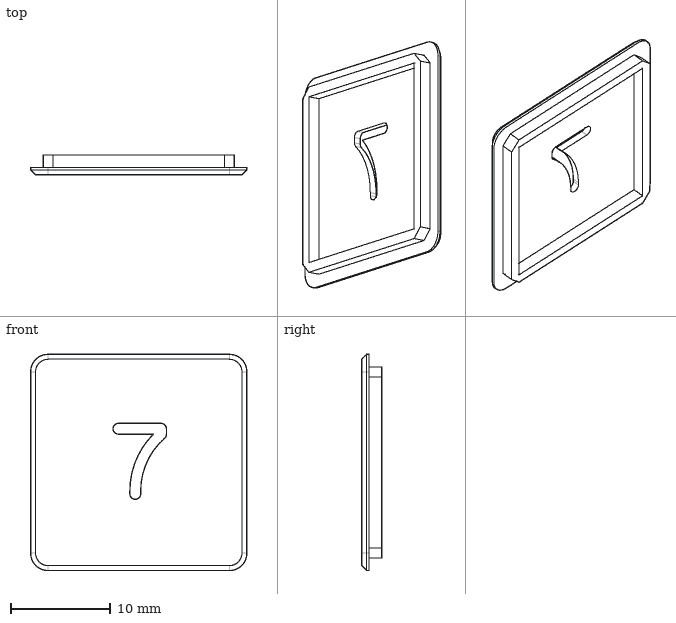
import cadquery as cq
import math


plate_size = 21.84
total_depth = 2.03
plate_thickness = 0.762
plate_corner_radius = 1.778
front_bevel = 0.508

rim_size = 19.304
rim_corner_chamfer = 1.016
rim_wall = 1.016
rim_height = total_depth - plate_thickness

front_y = -total_depth / 2
plate_back_y = front_y + plate_thickness

stroke_width = 1.067
stroke_radius = stroke_width / 2
bar_z = 3.4
bar_left_x = -2.05
bar_right_x = 2.25
stem_x = -0.35
stem_bottom_z = -3.18
bend_start_z = -2.87
bend_radius = 7.57


def sketch_plane(y):
    """XZ plane at the given Y whose positive extrusion runs toward +Y (local y is -Z)."""
    return cq.Workplane(cq.Plane(origin=(0, y, 0), xDir=(1, 0, 0), normal=(0, 1, 0)))


def make_plate():
    plate = sketch_plane(front_y).rect(plate_size, plate_size).extrude(plate_thickness)
    plate = plate.edges("|Y").fillet(plate_corner_radius)
    return plate.faces("<Y").chamfer(front_bevel)


def make_rim():
    block = sketch_plane(plate_back_y).rect(rim_size, rim_size).extrude(rim_height)
    block = block.edges("|Y").chamfer(rim_corner_chamfer)
    opening_size = rim_size - 2 * rim_wall
    opening = sketch_plane(plate_back_y).rect(opening_size, opening_size).extrude(rim_height)
    return block.cut(opening)


def make_window():
    """Cutter for the window: a horizontal bar, then a bend running down into a vertical stem."""
    bend_x = stem_x + bend_radius
    outer_radius = bend_radius + stroke_radius
    inner_radius = bend_radius - stroke_radius

    def on_bend(radius, angle):
        return (bend_x - radius * math.cos(angle), bend_start_z + radius * math.sin(angle))

    end_angle = math.acos((bend_x - bar_right_x) / bend_radius)
    corner_z = bend_start_z + bend_radius * math.sin(end_angle)

    bar_bottom_z = bar_z - stroke_radius
    bar_top_z = bar_z + stroke_radius
    notch_angle = math.asin((bar_bottom_z - bend_start_z) / outer_radius)

    right_x = bar_right_x + stroke_radius
    stem_left_x = stem_x - stroke_radius
    stem_right_x = stem_x + stroke_radius
    diagonal = stroke_radius * math.sqrt(0.5)
    blend_angle = end_angle / 2
    blend_mid = (
        bar_right_x + stroke_radius * math.cos(blend_angle),
        corner_z - stroke_radius * math.sin(blend_angle),
    )

    outline = (
        cq.Workplane("XZ", origin=(0, plate_back_y, 0))
        .moveTo(bar_left_x, bar_top_z)
        .lineTo(bar_right_x, bar_top_z)
        .threePointArc((bar_right_x + diagonal, bar_z + diagonal), (right_x, bar_z))
        .lineTo(right_x, corner_z)
        .threePointArc(blend_mid, on_bend(inner_radius, end_angle))
        .threePointArc(on_bend(inner_radius, end_angle / 2), (stem_right_x, bend_start_z))
        .lineTo(stem_right_x, stem_bottom_z)
        .threePointArc((stem_x, stem_bottom_z - stroke_radius), (stem_left_x, stem_bottom_z))
        .lineTo(stem_left_x, bend_start_z)
        .threePointArc(on_bend(outer_radius, notch_angle / 2), on_bend(outer_radius, notch_angle))
        .lineTo(bar_left_x, bar_bottom_z)
        .threePointArc((bar_left_x - stroke_radius, bar_z), (bar_left_x, bar_top_z))
        .close()
    )
    return outline.extrude(plate_thickness)


result = make_plate().union(make_rim()).cut(make_window())